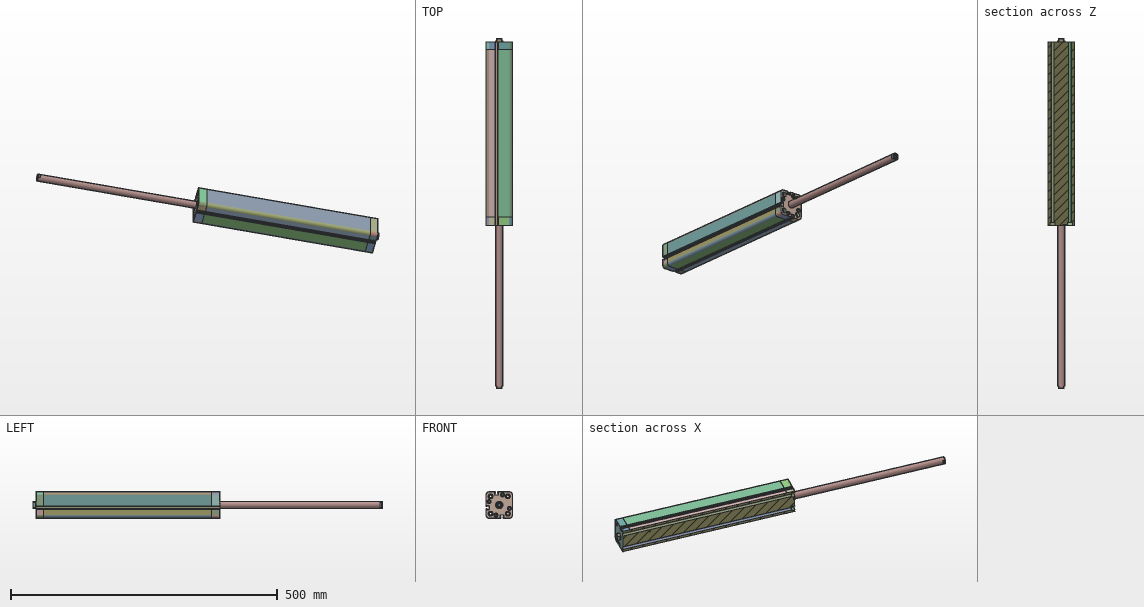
import cadquery as cq

total_length = 656.5
rear_end_y = total_length / 2
front_end_y = -total_length / 2
rear_rod_length = 6.5
front_cap_length = 16.0
rear_cap_length = 14.0
body_length = 344.5
body_rear_y = rear_end_y - rear_rod_length
body_front_y = body_rear_y - body_length
tube_front_y = body_front_y + front_cap_length
tube_rear_y = body_rear_y - rear_cap_length
tube_length = tube_rear_y - tube_front_y

cap_width = 50.1
tube_width = 50.0
corner_radius = 6.25

slot_offset = 5.0
slot_opening = 4.0
cap_cavity_width = 8.0
tube_cavity_width = 6.0
slot_depth = 6.2
slot_chamfer = 1.1
slot_lip = 2.2
slot_side_angles = (0, 90, 180)

tie_hole_pitch = 32.5
tie_hole_diameter = 4.92
tie_counterbore_diameter = 9.0
tie_counterbore_depth = 6.0

recess_offset = 6.25
recess_distance = 19.0
recess_diameter = 7.5
recess_depth = 2.0
recess_hole_diameter = 4.2
recess_hole_depth = 10.0
side_angles = (0, 90, 180, 270)

rod_diameter = 13.6
rod_flat_width = 10.0
rod_flat_length = 4.7
rod_end_diameter = 12.0
rod_bore_diameter = 8.57
rod_bore_depth = 2.0
rod_thread_diameter = 4.92
rod_thread_depth = 15.0


def plane_at(y):
    """Plane across the part at y: local x is X, local y is Z, and extrusion runs toward +Y."""
    return cq.Workplane(cq.Plane(origin=(0, y, 0), xDir=(1, 0, 0), normal=(0, -1, 0)))


def cylinder(x, z, diameter, y_start, length):
    return plane_at(y_start).center(x, z).circle(diameter / 2).extrude(-length)


def turned(shape, angle):
    """The shape turned about the rod axis."""
    return shape.rotate((0, 0, 0), (0, 1, 0), angle)


def square_section(width, y_start, length):
    block = plane_at(y_start).rect(width, width).extrude(-length)
    return block.edges("|Y").fillet(corner_radius)


def body():
    front_cap = square_section(cap_width, body_front_y, front_cap_length)
    tube = square_section(tube_width, tube_front_y, tube_length)
    rear_cap = square_section(cap_width, tube_rear_y, rear_cap_length)
    return front_cap.union(tube).union(rear_cap)


def slot_length(y_start, length, cavity_width):
    """A straight stretch of the T-slot in the +Z side."""
    side = cap_width / 2
    cavity_height = slot_depth - slot_lip
    cavity_z = side - slot_lip - cavity_height / 2
    cavity = plane_at(y_start).center(-slot_offset, cavity_z).rect(cavity_width, cavity_height)
    opening = plane_at(y_start).center(-slot_offset, side - slot_depth / 2).rect(slot_opening, slot_depth)
    mouth_half_width = slot_opening / 2 + slot_chamfer
    mouth = (
        plane_at(y_start)
        .center(-slot_offset, side)
        .polyline([(-mouth_half_width, 0), (mouth_half_width, 0), (0, -mouth_half_width)])
        .close()
    )
    slot = cavity.extrude(-length).union(opening.extrude(-length))
    return slot.union(mouth.extrude(-length))


def t_slot():
    """The whole slot: its cavity is narrower in the tube than in the end caps."""
    front = slot_length(body_front_y, front_cap_length, cap_cavity_width)
    middle = slot_length(tube_front_y, tube_length, tube_cavity_width)
    rear = slot_length(tube_rear_y, rear_cap_length, cap_cavity_width)
    return front.union(middle).union(rear)


def tie_holes():
    centres = plane_at(body_front_y).rect(tie_hole_pitch, tie_hole_pitch, forConstruction=True).vertices()
    holes = centres.circle(tie_hole_diameter / 2).extrude(-body_length)
    counterbores = centres.circle(tie_counterbore_diameter / 2).extrude(-tie_counterbore_depth)
    return holes.union(counterbores)


def cap_recess():
    recess = cylinder(recess_offset, recess_distance, recess_diameter, body_front_y, recess_depth)
    hole = cylinder(recess_offset, recess_distance, recess_hole_diameter, body_front_y, recess_hole_depth)
    return recess.union(hole)


def flat_end(y_start):
    """Material removed to leave two wrench flats, facing -X and +X, on a rod end."""
    blank = plane_at(y_start).rect(2 * rod_diameter, 2 * rod_diameter).extrude(-rod_flat_length)
    kept = plane_at(y_start).rect(rod_flat_width, 2 * rod_diameter).extrude(-rod_flat_length)
    return blank.cut(kept)


def rod():
    end_chamfer = (rod_diameter - rod_end_diameter) / 2
    shaft = cylinder(0, 0, rod_diameter, front_end_y, total_length).faces("|Y").chamfer(end_chamfer)
    shaft = shaft.cut(flat_end(front_end_y))
    shaft = shaft.cut(flat_end(rear_end_y - rod_flat_length))
    shaft = shaft.cut(cylinder(0, 0, rod_bore_diameter, front_end_y, rod_bore_depth))
    return shaft.cut(cylinder(0, 0, rod_thread_diameter, front_end_y, rod_thread_depth))


housing = body().cut(tie_holes())
for angle in slot_side_angles:
    housing = housing.cut(turned(t_slot(), -angle))
for angle in side_angles:
    housing = housing.cut(turned(cap_recess(), angle))

result = housing.union(rod())